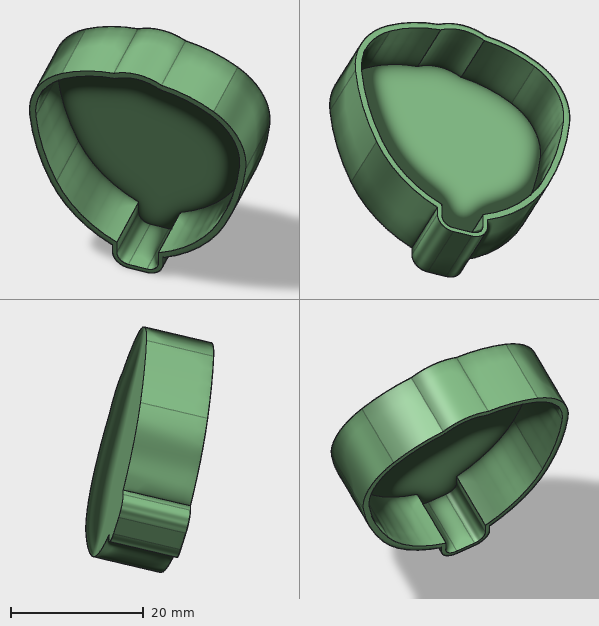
import cadquery as cq

height = 40.2
depth = 10.5
wall = 1.0
floor_thickness = 1.0

top = height / 2
bottom = -height / 2
back = depth / 2
cavity_depth = depth - floor_thickness

crown_half_width = 3.8
crown_rise = 0.95
crown_end = (crown_half_width, top - crown_rise)
crown_radius = (crown_half_width**2 + crown_rise**2) / (2 * crown_rise)

shoulder_radius = 20.0
shoulder_end = (12.17, 16.4)
lower_arc_ends = [
    (17.3, 6.3),
    (13.9, -6.43),
    (2.8, -16.7),
]
chin = (0, -17.75)

tab_width = 8.1
tab_wall = 0.72
tab_corner_radius = 2.57
tab_top = -15.25


def body(start, length, inset):
    """Extrude the body outline, moved inward by inset, from Y = start towards -Y."""
    half_outline = (
        cq.Workplane("XZ", origin=(0, start, 0))
        .moveTo(0, top)
        .radiusArc(crown_end, crown_radius)
        .radiusArc(shoulder_end, shoulder_radius)
    )
    for arc_end in lower_arc_ends:
        half_outline = half_outline.tangentArcPoint(arc_end, relative=False)
    outline = half_outline.lineTo(*chin).mirrorY()
    if inset > 0:
        outline = outline.offset2D(-inset, "intersection")
    return outline.extrude(length)


def tab(start, length, inset):
    """Extrude the tab, its sides and bottom moved inward by inset, from Y = start towards -Y."""
    low = bottom + inset
    block = (
        cq.Workplane("XZ", origin=(0, start, (tab_top + low) / 2))
        .rect(tab_width - 2 * inset, tab_top - low)
        .extrude(length)
    )
    return block.edges("|Y and <Z").fillet(tab_corner_radius - inset)


def cup_shape(start, length, body_inset, tab_inset):
    """Join body and tab into one prism."""
    return body(start, length, body_inset).union(tab(start, length, tab_inset))


outer = cup_shape(back, depth, 0, 0)
cavity = cup_shape(back - floor_thickness, cavity_depth, wall, tab_wall)
result = outer.cut(cavity)